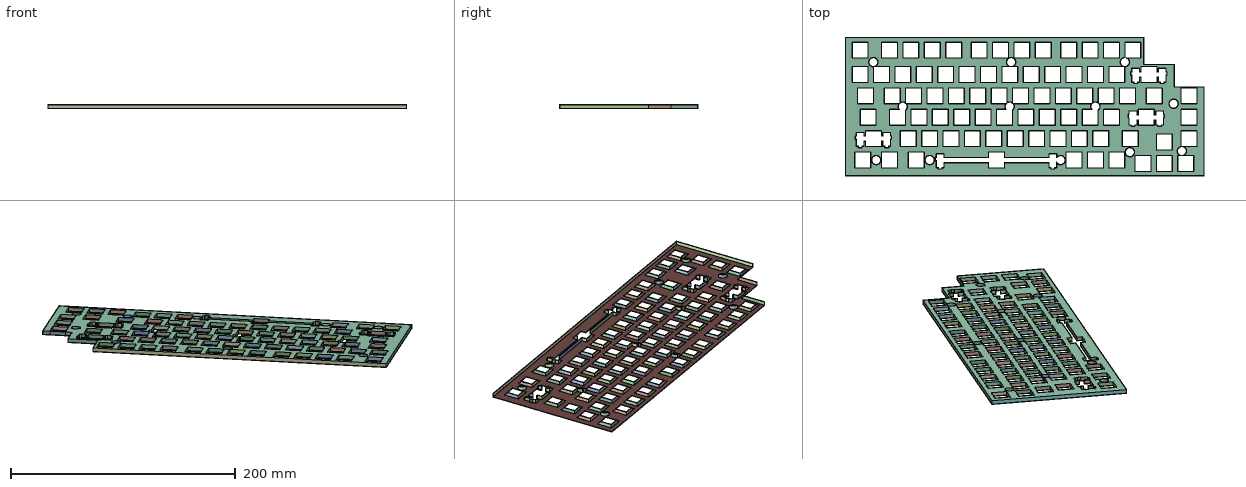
import cadquery as cq

plate_length = 319.2
plate_depth = 123.2
plate_thickness = 3.5
first_step_x = 265.5
first_step_drop = 24.0
second_step_x = 292.7
second_step_drop = 44.0

left_margin = 13.0
right_margin = 13.5
bottom_margin = 14.0
nav_column = 15.375
key_pitch = (plate_length - left_margin - right_margin) / nav_column
key_web = 5.0
key_size = key_pitch - key_web
function_row_gap = 0.14
arrow_drop = 3.03

stab_spacing = 11.8
space_stab_spacing = 50.0
stab_width = 6.7
stab_back = 5.5
stab_front = 6.7
stab_tab_width = 3.2
stab_tab_length = 1.2
stab_notch_length = 0.83
stab_notch_back = 2.3
stab_notch_front = 0.5
stab_bar_width = 4.5

hole_diameter = 8.0

plate_left = -plate_length / 2
plate_right = plate_length / 2
plate_front = -plate_depth / 2
plate_back = plate_depth / 2


def column_x(column):
    return plate_left + left_margin + column * key_pitch


def row_y(row):
    """Row 0 is the bottom row; a fraction shifts the row backward."""
    return plate_front + bottom_margin + row * key_pitch


def run(first, count):
    """Columns of neighbouring keys one pitch apart."""
    return [first + i for i in range(count)]


BOTTOM, SHIFT, HOME, UPPER, NUMBER = range(5)
FUNCTION = NUMBER + 1 + function_row_gap

space_column = 6.375
backspace_column = 13.5
enter_column = 13.375
left_shift_column = 0.625
arrow_column = 13.22

key_rows = {
    FUNCTION: [0] + run(1.375, 4) + run(5.5625, 4) + run(9.75, 4),
    NUMBER: run(0, 13) + [backspace_column],
    UPPER: [0.25] + run(1.5, 12) + [13.75, nav_column],
    HOME: [0.375] + run(1.75, 11) + [enter_column, nav_column],
    SHIFT: [left_shift_column] + run(2.25, 10) + [12.625, nav_column],
    BOTTOM: [0.125, 1.375, 2.625, space_column] + run(10, 3),
}

key_centres = [(column_x(c), row_y(row)) for row, columns in key_rows.items() for c in columns]
key_centres += [(column_x(c), row_y(BOTTOM) - arrow_drop) for c in run(arrow_column, 3)]
key_centres.append((column_x(arrow_column + 1), row_y(SHIFT) - arrow_drop))

hole_places = [
    (25.0, 101.2), (147.5, 101.2), (248.5, 101.2),
    (51.0, 61.5), (146.2, 61.5), (222.5, 61.5),
    (292.0, 64.0), (299.5, 22.0), (253.0, 21.0),
    (27.5, 14.0), (75.0, 14.0), (191.5, 14.0),
]
hole_centres = [(plate_left + x, plate_front + y) for x, y in hole_places]


def box(x_min, x_max, y_min, y_max):
    """Cutting block through the whole plate thickness."""
    size = (x_max - x_min, y_max - y_min, plate_thickness)
    return cq.Workplane().box(*size, centered=False).translate((x_min, y_min, 0))


def stabilizer(column, row, spacing):
    """Pair of mirrored stabilizer slots joined by a channel through the key centre."""
    x, y = column_x(column), row_y(row)
    cutter = box(x - spacing, x + spacing, y - stab_bar_width / 2, y + stab_bar_width / 2)
    for side in (-1, 1):
        slot_x = x + side * spacing
        half = stab_width / 2
        cutter = cutter.union(box(slot_x - half, slot_x + half, y - stab_front, y + stab_back))
        half = stab_tab_width / 2
        cutter = cutter.union(box(slot_x - half, slot_x + half, y - stab_front - stab_tab_length, y))
        tip_x = slot_x + side * (stab_width / 2 + stab_notch_length)
        x_min, x_max = sorted((slot_x, tip_x))
        cutter = cutter.union(box(x_min, x_max, y - stab_notch_front, y + stab_notch_back))
    return cutter


outline = [
    (plate_left, plate_front),
    (plate_right, plate_front),
    (plate_right, plate_back - second_step_drop),
    (plate_left + second_step_x, plate_back - second_step_drop),
    (plate_left + second_step_x, plate_back - first_step_drop),
    (plate_left + first_step_x, plate_back - first_step_drop),
    (plate_left + first_step_x, plate_back),
    (plate_left, plate_back),
]
plate = cq.Workplane().polyline(outline).close().extrude(plate_thickness)

key_openings = cq.Workplane().pushPoints(key_centres).rect(key_size, key_size).extrude(plate_thickness)
holes = cq.Workplane().pushPoints(hole_centres).circle(hole_diameter / 2).extrude(plate_thickness)

result = plate.cut(key_openings).cut(holes)
for column, row in ((backspace_column, NUMBER), (enter_column, HOME), (left_shift_column, SHIFT)):
    result = result.cut(stabilizer(column, row, stab_spacing))
result = result.cut(stabilizer(space_column, BOTTOM, space_stab_spacing))